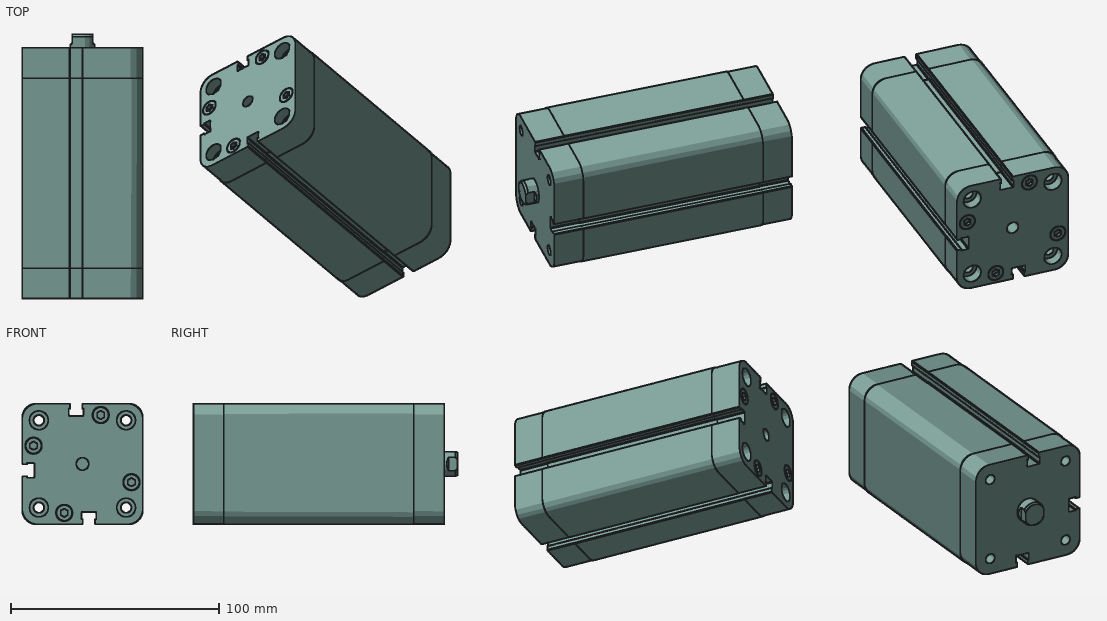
import cadquery as cq
import math


TOTAL_LENGTH = 127.0
CAP_SIDE = 57.9
TUBE_SIDE = 58.0
ROD_PROJECTION = 6.5
CAP_LENGTH = 14.7
CAP_CORNER_RADIUS = 7.4
TUBE_CORNER_RADIUS = 7.0

FRONT_Y = -TOTAL_LENGTH / 2
ROD_END_Y = TOTAL_LENGTH / 2
REAR_Y = ROD_END_Y - ROD_PROJECTION
TUBE_LENGTH = REAR_Y - FRONT_Y - 2 * CAP_LENGTH

SLOT_OFFSET = 3.0
SLOT_MOUTH = 5.7
SLOT_WIDTH = 7.0
SLOT_LIP = 2.4
CAP_SLOT_DEPTH = 6.1
TUBE_SLOT_DEPTH = 5.8
SLOT_CORNER_CHAMFER = 0.4
SLOT_MOUTH_CHAMFER = 0.4
SLOT_TURNS = (0, 90, 180)

MOUNT_OFFSET = 21.0
MOUNT_HOLE_DIAMETER = 5.0
MOUNT_COUNTERBORE_DIAMETER = 9.0
MOUNT_COUNTERBORE_DEPTH = 5.5

SCREW_ALONG = 8.8
SCREW_OUT = 23.5
SCREW_RECESS_DIAMETER = 8.0
SCREW_HEAD_DIAMETER = 7.5
SCREW_HEAD_HEIGHT = 4.0
SOCKET_ACROSS_FLATS = 3.5
SOCKET_DEPTH = 2.0

CENTER_HOLE_DIAMETER = 6.0
CENTER_HOLE_DEPTH = 7.6

ROD_DIAMETER = 12.0
ROD_FLAT_WIDTH = 10.0
ROD_FLAT_LENGTH = 4.3
ROD_CHAMFER_LENGTH = 1.3
ROD_CHAMFER_HEIGHT = 0.5


def plane_at(y):
    """XZ plane at a given Y, with its normal pointing along +Y and local x, y on -X, +Z."""
    return cq.Workplane(cq.Plane(origin=(0, y, 0), xDir=(-1, 0, 0), normal=(0, 1, 0)))


def cylinder_at(x, z, diameter, y, length):
    """Cylinder that starts at y and runs along +Y."""
    return plane_at(y).center(-x, z).circle(diameter / 2).extrude(length)


def slot(y, length, side, depth):
    """T-slot cutter for the +Z side."""
    mouth = SLOT_MOUTH / 2
    half_width = SLOT_WIDTH / 2
    surface_z = side / 2
    lip_z = surface_z - SLOT_LIP
    floor_z = surface_z - depth
    right_side = [
        (mouth + SLOT_MOUTH_CHAMFER, surface_z),
        (mouth, surface_z - SLOT_MOUTH_CHAMFER),
        (mouth, lip_z),
        (half_width, lip_z),
        (half_width, floor_z + SLOT_CORNER_CHAMFER),
        (half_width - SLOT_CORNER_CHAMFER, floor_z),
    ]
    left_side = [(-x, z) for x, z in reversed(right_side)]
    section = plane_at(y).center(SLOT_OFFSET, 0).polyline(right_side + left_side).close()
    return section.extrude(length)


def block(y, length, side, corner_radius, slot_depth):
    """Rounded square length of the housing with its three slots."""
    solid = plane_at(y).rect(side, side).extrude(length).edges("|Y").fillet(corner_radius)
    cutter = slot(y, length, side, slot_depth)
    for turn in SLOT_TURNS:
        solid = solid.cut(cutter.rotate((0, 0, 0), (0, 1, 0), -turn))
    return solid


def screw_gap(x, z):
    """Ring-shaped gap around a screw head, plus its hexagon socket with corners on +Z and -Z."""
    recess = cylinder_at(x, z, SCREW_RECESS_DIAMETER, FRONT_Y, SCREW_HEAD_HEIGHT)
    head = cylinder_at(x, z, SCREW_HEAD_DIAMETER, FRONT_Y, SCREW_HEAD_HEIGHT)
    corner_radius = SOCKET_ACROSS_FLATS / 2 / math.cos(math.pi / 6)
    corner_angles = [math.pi / 2 + i * math.pi / 3 for i in range(6)]
    corners = [(corner_radius * math.cos(a), corner_radius * math.sin(a)) for a in corner_angles]
    socket = plane_at(FRONT_Y).center(-x, z).polyline(corners).close().extrude(SOCKET_DEPTH)
    return recess.cut(head).union(socket)


def piston_rod():
    """Rod end with a chamfered tip and two flats that run out on a 45 degree step."""
    radius = ROD_DIAMETER / 2
    rod = cylinder_at(0, 0, ROD_DIAMETER, REAR_Y, ROD_PROJECTION)
    rod = rod.faces(">Y").chamfer(ROD_CHAMFER_LENGTH, ROD_CHAMFER_HEIGHT)
    flat_x = ROD_FLAT_WIDTH / 2
    step = radius - flat_x
    flat_start = ROD_END_Y - ROD_FLAT_LENGTH
    flat_section = [
        (flat_x, ROD_END_Y),
        (flat_x, flat_start),
        (radius, flat_start - step),
        (radius, ROD_END_Y),
    ]
    flat = cq.Workplane("XY").polyline(flat_section).close().extrude(radius, both=True)
    return rod.cut(flat).cut(flat.mirror("YZ"))


front_cap = block(FRONT_Y, CAP_LENGTH, CAP_SIDE, CAP_CORNER_RADIUS, CAP_SLOT_DEPTH)
tube = block(FRONT_Y + CAP_LENGTH, TUBE_LENGTH, TUBE_SIDE, TUBE_CORNER_RADIUS, TUBE_SLOT_DEPTH)
rear_cap = block(REAR_Y - CAP_LENGTH, CAP_LENGTH, CAP_SIDE, CAP_CORNER_RADIUS, CAP_SLOT_DEPTH)
result = front_cap.union(tube).union(rear_cap).union(piston_rod())

for x in (-MOUNT_OFFSET, MOUNT_OFFSET):
    for z in (-MOUNT_OFFSET, MOUNT_OFFSET):
        result = result.cut(cylinder_at(x, z, MOUNT_HOLE_DIAMETER, FRONT_Y, TOTAL_LENGTH))
        result = result.cut(
            cylinder_at(x, z, MOUNT_COUNTERBORE_DIAMETER, FRONT_Y, MOUNT_COUNTERBORE_DEPTH)
        )

for x, z in (
    (SCREW_ALONG, SCREW_OUT),
    (SCREW_OUT, -SCREW_ALONG),
    (-SCREW_ALONG, -SCREW_OUT),
    (-SCREW_OUT, SCREW_ALONG),
):
    result = result.cut(screw_gap(x, z))

result = result.cut(cylinder_at(0, 0, CENTER_HOLE_DIAMETER, FRONT_Y, CENTER_HOLE_DEPTH))